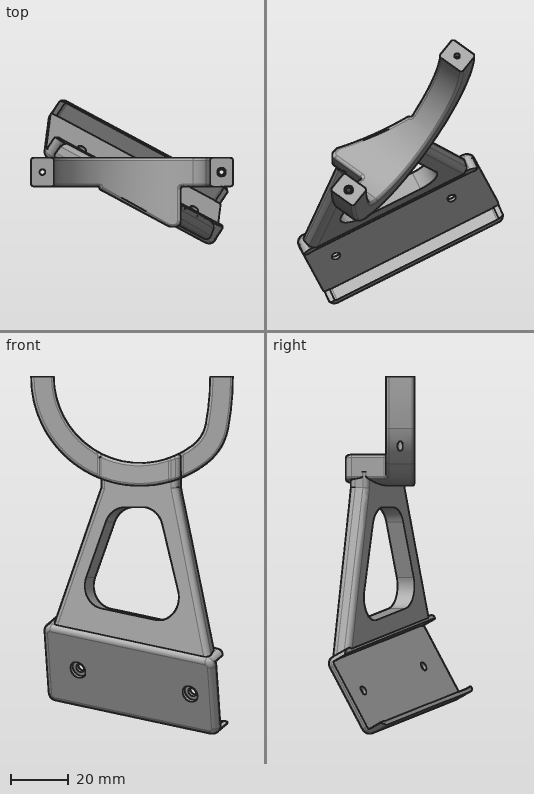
import cadquery as cq
import math

fork_span = 70.25
fork_depth = 10.0
arm_width = 8.0
bow_inner_radius = 30.0
side_inner_radius = 90.0
bend_inner_radius = 12.0
fork_edge_radius = 0.95
arm_center_x = (fork_span - arm_width) / 2
bow_center_x = arm_width + bow_inner_radius - fork_span / 2
side_center_x = fork_span / 2 - arm_width - side_inner_radius
fork_front_y = -fork_depth / 2
fork_back_y = fork_depth / 2

screw_diameter = 1.9
tip_recess_diameter = 3.05
tip_recess_depth = 0.5
head_pocket_diameter = 6.0
head_pocket_top_z = -3.7
head_pocket_rim_radius = 0.6

stem_turn = math.radians(28.2)
tray_roll = math.radians(10.7)
tray_tilt = math.radians(26.0)

shelf_face_offset = -10.6
shelf_front_y = -19.0
shelf_left_x = -11.3
shelf_right_x = 17.0
shelf_corner_radius = 2.0
shelf_step_radius = 0.8
shelf_root_radius = 0.8

stem_front_offset = -8.6
stem_thickness = 6.7
stem_back_inset = 1.6
stem_edge_radius = 2.0
stem_top_z = -33.0
neck_bottom_z = -38.5
stem_bottom_z = -110.0
neck_left = -8.3
neck_right = 22.4
stem_left_slope = 0.392
stem_right_slope = 0.213

window_top_z = -45.4
window_bottom_z = -82.0
window_left = -3.7
window_right = 14.9
window_left_slope = 0.40
window_right_slope = 0.27
window_corner_radius = 8.0

tray_hole_center = (0.7, -4.55, -106.15)
tray_length = 68.2
tray_hole_shift = 1.9
tray_height = 30.0
tray_depth = 9.0
tray_floor = 3.0
flange_thickness = 1.5
flange_end_lip = 1.7
flange_tip_radius = 1.7
tray_corner_radius = 3.0
tray_edge_radius = 2.0
tray_hole_spacing = 45.0
tray_hole_diameter = 3.05
tray_recess_diameter = 6.0
tray_recess_depth = 1.5

tolerance = 0.01


def stem_plane(offset):
    """Upright plane along the stem: local x runs to the right, local y up, the normal to the front."""
    along = cq.Vector(math.cos(stem_turn), -math.sin(stem_turn), 0)
    back = cq.Vector(math.sin(stem_turn), math.cos(stem_turn), 0)
    return cq.Plane(origin=(back * offset).toTuple(), xDir=along.toTuple(), normal=(-back).toTuple())


def tray_plane():
    """Outer face of the tray: local x runs along the tray, local y down its face, the normal inward."""
    upright = stem_plane(0)
    along = upright.xDir * math.cos(tray_roll) - upright.yDir * math.sin(tray_roll)
    down = upright.xDir * -math.sin(tray_roll) - upright.yDir * math.cos(tray_roll)
    inward = upright.zDir * -math.cos(tray_tilt) - down * math.sin(tray_tilt)
    return cq.Plane(origin=tray_hole_center, xDir=along.toTuple(), normal=inward.toTuple())


def bow_outline():
    """Outline of the bow: the main arc, a tighter bend at the right and a gently curved right arm."""
    side_to_bend = side_inner_radius - bend_inner_radius
    bow_to_bend = bow_inner_radius - bend_inner_radius
    side_to_bow = bow_center_x - side_center_x
    bend_run = (side_to_bend**2 - bow_to_bend**2 + side_to_bow**2) / (2 * side_to_bow)
    bend_center_x = side_center_x + bend_run
    bend_center_z = -math.sqrt(side_to_bend**2 - bend_run**2)
    side_angle = math.atan2(bend_center_z, bend_run)
    bow_angle = math.atan2(bend_center_z, bend_center_x - bow_center_x)
    bend_middle_angle = (side_angle + bow_angle) / 2
    bow_middle_angle = (bow_angle - math.pi) / 2

    def polar(center_x, center_z, radius, angle):
        return (center_x + radius * math.cos(angle), center_z + radius * math.sin(angle))

    def side(width, angle):
        return polar(side_center_x, 0, side_inner_radius + width, angle)

    def bend(width, angle):
        return polar(bend_center_x, bend_center_z, bend_inner_radius + width, angle)

    def bow(width, angle):
        return polar(bow_center_x, 0, bow_inner_radius + width, angle)

    return (
        cq.Workplane("XZ", origin=(0, fork_back_y, 0))
        .moveTo(*side(0, 0))
        .threePointArc(side(0, side_angle / 2), side(0, side_angle))
        .threePointArc(bend(0, bend_middle_angle), bend(0, bow_angle))
        .threePointArc(bow(0, bow_middle_angle), bow(0, -math.pi))
        .lineTo(*bow(arm_width, -math.pi))
        .threePointArc(bow(arm_width, bow_middle_angle), bow(arm_width, bow_angle))
        .threePointArc(bend(arm_width, bend_middle_angle), bend(arm_width, side_angle))
        .threePointArc(side(arm_width, side_angle / 2), side(arm_width, 0))
        .close()
    )


def fillet_uprights(body, corners, radius):
    """Round the vertical edges that stand at the given (x, y) corners."""
    chosen = [
        edge
        for edge in body.edges("|Z").vals()
        if any(math.dist((edge.Center().x, edge.Center().y), corner) < tolerance for corner in corners)
    ]
    return body.newObject(chosen).fillet(radius)


def fork_plan():
    """Footprint of fork and shelf: a bar across X with the shelf reaching forward along the stem."""
    slant_left_y = (shelf_face_offset - shelf_left_x * math.sin(stem_turn)) / math.cos(stem_turn)
    slant_front_x = (shelf_face_offset - shelf_front_y * math.cos(stem_turn)) / math.sin(stem_turn)
    right_root = (shelf_right_x, fork_front_y)
    right_corner = (shelf_right_x, shelf_front_y)
    front_corner = (slant_front_x, shelf_front_y)
    left_step = (shelf_left_x, slant_left_y)
    left_root = (shelf_left_x, fork_front_y)
    plan = (
        cq.Workplane("XY")
        .moveTo(-fork_span, fork_back_y)
        .lineTo(fork_span, fork_back_y)
        .lineTo(fork_span, fork_front_y)
        .lineTo(*right_root)
        .lineTo(*right_corner)
        .lineTo(*front_corner)
        .lineTo(*left_step)
        .lineTo(*left_root)
        .lineTo(-fork_span, fork_front_y)
        .close()
        .extrude(-fork_span)
    )
    plan = fillet_uprights(plan, [right_corner, front_corner], shelf_corner_radius)
    plan = fillet_uprights(plan, [right_root, left_root], shelf_root_radius)
    return fillet_uprights(plan, [left_step], shelf_step_radius)


def fork():
    """Bow and shelf with rounded rims; the flat arm tips keep sharp edges."""
    body = bow_outline().extrude(fork_back_y - shelf_front_y).intersect(fork_plan())
    rims = [
        edge
        for edge in body.edges("not |Z").edges("not |Y").vals()
        if edge.Center().z < -tolerance
    ]
    return body.newObject(rims).fillet(fork_edge_radius)


def drill(x, diameter, top_z, depth):
    """Vertical cylinder that reaches down from top_z."""
    return cq.Workplane("XY", origin=(x, 0, top_z)).circle(diameter / 2).extrude(-depth)


def cut_head_pocket(body):
    """Round pocket under the left arm tip, open toward the outside, with a rounded rim."""
    radius = head_pocket_diameter / 2
    pocket = drill(-arm_center_x, head_pocket_diameter, head_pocket_top_z, bow_inner_radius)
    mouth = (
        cq.Workplane("XY", origin=(-arm_center_x - arm_width / 2, 0, head_pocket_top_z))
        .rect(arm_width, head_pocket_diameter)
        .extrude(-bow_inner_radius)
    )
    body = body.cut(pocket.union(mouth))
    around_pocket = cq.selectors.BoxSelector(
        (-fork_span, -radius - tolerance, -bow_inner_radius),
        (-arm_center_x + radius + tolerance, radius + tolerance, head_pocket_top_z + tolerance),
        boundingbox=True,
    )
    rim = [
        edge
        for edge in body.edges(around_pocket).vals()
        if min(edge.BoundingBox().xlen, edge.BoundingBox().zlen) > tolerance
    ]
    return body.newObject(rim).fillet(head_pocket_rim_radius)


def cut_arm_holes(body):
    """Screw holes through both arms and the wider, shallow recess at the right tip."""
    for x in (-arm_center_x, arm_center_x):
        body = body.cut(drill(x, screw_diameter, 0, bow_inner_radius))
    return body.cut(drill(arm_center_x, tip_recess_diameter, 0, tip_recess_depth))


def stem_outline(offset, right_inset):
    """Outline of the stem at one depth; right_inset narrows the neck on its right side."""
    drop = neck_bottom_z - stem_bottom_z
    corners = [
        (neck_left, stem_top_z),
        (neck_right - right_inset, stem_top_z),
        (neck_right - right_inset, neck_bottom_z),
        (neck_right + stem_right_slope * drop, stem_bottom_z),
        (neck_left - stem_left_slope * drop, stem_bottom_z),
        (neck_left, neck_bottom_z),
    ]
    plane = stem_plane(offset)
    return cq.Wire.makePolygon([plane.toWorldCoords(corner) for corner in corners], close=True)


def stem_window():
    """Rounded four-sided opening through the stem."""
    fall = math.tan(tray_roll)

    def foot(top_x, slope):
        drop = (window_top_z - window_bottom_z + fall * top_x) / (1 - fall * slope)
        return (top_x + slope * drop, window_top_z - drop)

    plane = stem_plane(stem_front_offset)
    return (
        cq.Workplane(plane)
        .moveTo(window_left, window_top_z)
        .lineTo(window_right, window_top_z)
        .lineTo(*foot(window_right, window_right_slope))
        .lineTo(*foot(window_left, -window_left_slope))
        .close()
        .extrude(-stem_thickness)
        .edges(cq.selectors.ParallelDirSelector(plane.zDir))
        .fillet(window_corner_radius)
    )


def stem():
    """Tapered plate with rounded long edges, ending inside the upper flange of the tray."""
    front = stem_outline(stem_front_offset, 0)
    back = stem_outline(stem_front_offset + stem_thickness, stem_back_inset)
    plate = cq.Workplane(cq.Solid.makeLoft([front, back], True))
    steep_edges = [edge for edge in plate.edges().vals() if abs(edge.tangentAt(0.5).z) > 0.5]
    plate = plate.newObject(steep_edges).fillet(stem_edge_radius)
    flange_middle = (flange_thickness - tray_height) / 2
    below_flange = (
        cq.Workplane(tray_plane())
        .center(0, flange_middle + tray_height)
        .box(3 * tray_length, 2 * tray_height, 3 * tray_length)
    )
    return plate.cut(stem_window()).cut(below_flange)


def tray():
    """Channel built flat around the middle of its two holes, then moved to its place."""
    middle_x = -tray_hole_shift
    block = cq.Workplane("XY", origin=(middle_x, 0, 0)).box(
        tray_length, tray_height, tray_depth, centered=(True, True, False)
    )
    body = block.edges("|Z").fillet(tray_corner_radius)
    body = body.intersect(block.edges(">Z and |Y").fillet(flange_tip_radius))
    body = body.faces("<Z").edges().fillet(tray_edge_radius)

    inside = cq.Workplane("XY", origin=(middle_x, 0, tray_floor))
    cavity = (
        inside.rect(tray_length - 2 * flange_thickness, tray_height - 2 * flange_thickness)
        .extrude(tray_depth)
        .edges("|Z")
        .fillet(tray_corner_radius - flange_thickness)
    )
    open_ends = inside.rect(2 * tray_length, tray_height - 2 * flange_end_lip).extrude(tray_depth)
    body = body.cut(cavity).cut(open_ends)

    hole_places = [(-tray_hole_spacing / 2, 0), (tray_hole_spacing / 2, 0)]
    outer_face = cq.Workplane("XY").pushPoints(hole_places)
    body = body.cut(outer_face.circle(tray_hole_diameter / 2).extrude(tray_floor))
    body = body.cut(outer_face.circle(tray_recess_diameter / 2).extrude(tray_recess_depth))
    return cq.Workplane(body.val().located(tray_plane().location))


holder = cut_arm_holes(cut_head_pocket(fork()))
result = holder.union(stem()).union(tray())